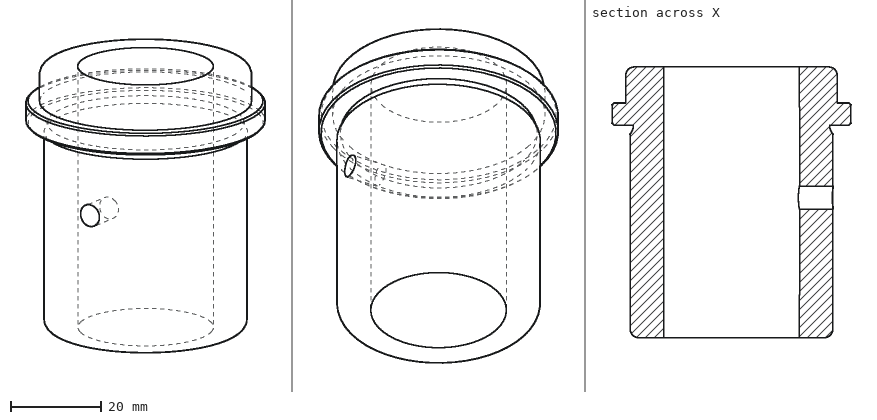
import cadquery as cq

total_height = 60.0
bore_diameter = 30.0
body_diameter = 45.0
head_diameter = 47.0
flange_diameter = 53.0

head_height = 8.0
flange_thickness = 5.0
flange_chamfer = 0.5
end_round = 2.0

relief_height = 2.0
relief_depth = 0.7

hole_diameter = 5.0
hole_height = 31.0

flange_top = total_height - head_height
flange_bottom = flange_top - flange_thickness
relief_bottom = flange_bottom - relief_height


def cylinder(diameter, bottom, top):
    """Solid cylinder on the Z axis between two heights."""
    return cq.Workplane("XY").workplane(offset=bottom).circle(diameter / 2).extrude(top - bottom)


body = cylinder(body_diameter, 0, relief_bottom).faces("<Z").edges().fillet(end_round)

body_radius = body_diameter / 2
relief_radius = body_radius - relief_depth
arc_bulge = 0.2
relief_middle = (
    (body_radius + relief_radius) / 2 - arc_bulge,
    (relief_bottom + flange_bottom) / 2,
)
relief = (
    cq.Workplane("XZ")
    .moveTo(0, relief_bottom)
    .lineTo(body_radius, relief_bottom)
    .threePointArc(relief_middle, (relief_radius, flange_bottom))
    .lineTo(0, flange_bottom)
    .close()
    .revolve(360, (0, 0, 0), (0, 1, 0))
)

flange = cylinder(flange_diameter, flange_bottom, flange_top).edges().chamfer(flange_chamfer)
head = cylinder(head_diameter, flange_top, total_height).faces(">Z").edges().fillet(end_round)

bore = cylinder(bore_diameter, 0, total_height)
radial_hole = (
    cq.Workplane("XZ")
    .center(0, hole_height)
    .circle(hole_diameter / 2)
    .extrude(body_radius)
)

result = body.union(relief).union(flange).union(head).cut(bore).cut(radial_hole)